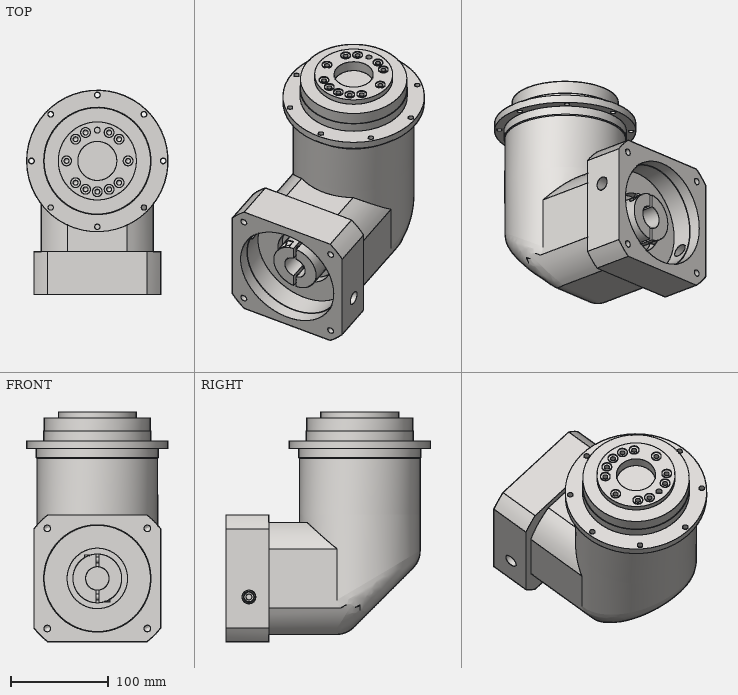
import cadquery as cq
import math


FLANGE_DIA = 145.0
FLANGE_BOTTOM, FLANGE_TOP = 133.0, 141.0
FLANGE_HOLE_CIRCLE, FLANGE_HOLE_DIA = 135.0, 5.5
FLANGE_HOLE_COUNT = 8
PILOT_DIA, PILOT_SLIM_DIA = 110.0, 109.0
PILOT_STEP, PILOT_TOP = 151.0, 164.5
OUTPUT_DIA, OUTPUT_TOP = 80.0, 170.5
OUTPUT_BORE_DIA, OUTPUT_BORE_DEPTH = 40.0, 12.0
COLLAR_DIA, COLLAR_BOTTOM = 125.5, 124.0
COLLAR_TAPER = 1.0
BARREL_DIA = 124.0
BARREL_BOTTOM = 65.0

OUTPUT_HOLE_CIRCLE = 63.0
OUTPUT_HOLE_DIA, OUTPUT_HOLE_DEPTH = 5.0, 12.0
OUTPUT_HOLE_ANGLES = [0, 45, 67.5, 112.5, 135, 180, 225, 247.5, 270, 292.5, 315]
SPOTFACE_DIA, SPOTFACE_DEPTH = 10.0, 1.0
PIN_HOLE_DIA, PIN_HOLE_DEPTH, PIN_HOLE_ANGLE = 6.0, 7.0, 90
DRILL_POINT_ANGLE = 118.0

NECK_SIZE = 115.0
NECK_CORNER_DIA = 130.0
MITER_DROP = 44.0
MITER_FILLET = 25.0
MITER_NORMAL = (0, 1, -1)
ELBOW_REACH = 300.0

ADAPTER_SIZE, ADAPTER_CORNER_DIA = 130.0, 165.0
ADAPTER_FRONT, ADAPTER_THICKNESS = -137.0, 44.0
ADAPTER_BACK = ADAPTER_FRONT + ADAPTER_THICKNESS
MOTOR_PILOT_DIA, MOTOR_PILOT_DEPTH = 110.0, 13.0
RECESS_DIA, RECESS_DEPTH = 109.0, 35.0
HUB_CLEARANCE_DIA = 62.0
MOTOR_HOLE_CIRCLE, MOTOR_HOLE_DIA, MOTOR_HOLE_DEPTH = 145.0, 6.8, 20.0
MOTOR_HOLE_ANGLES = [45, 135, 225, 315]
ACCESS_HOLE_DIA = 14.0

HUB_DIA, HUB_BORE_DIA = 50.0, 24.0
HUB_FRONT = ADAPTER_FRONT + 16.0
SLOT_WIDTH = 3.0
SLOT_END = ADAPTER_FRONT + RECESS_DEPTH
SCREW_Y, SCREW_Z = -113.5, 19.0
SCREW_SHANK_DIA = 6.0
SCREW_HEAD_DIA, SCREW_HEAD_SEAT, SCREW_HEAD_END = 10.0, 8.0, 13.0
SCREW_POCKET_DIA = 11.0
SOCKET_DIA, SOCKET_DEPTH = 6.0, 3.0


def cylinder_z(diameter, bottom, top):
    return cq.Workplane("XY").workplane(offset=bottom).circle(diameter / 2).extrude(top - bottom)


def cylinder_y(diameter, start, end):
    """Cylinder on the input axis from y = start to y = end."""
    plane = cq.Plane(origin=(0, start, 0), xDir=(1, 0, 0), normal=(0, 1, 0))
    return cq.Workplane(plane).circle(diameter / 2).extrude(end - start)


def cylinder_x(diameter, start, end, y, z):
    """Cylinder along +X from x = start to x = end."""
    plane = cq.Plane(origin=(start, y, z), xDir=(0, 1, 0), normal=(1, 0, 0))
    return cq.Workplane(plane).circle(diameter / 2).extrude(end - start)


def block(x_limits, y_limits, z_limits):
    """Box between the given limits."""
    sizes = [high - low for low, high in (x_limits, y_limits, z_limits)]
    corner = (x_limits[0], y_limits[0], z_limits[0])
    return cq.Workplane("XY").box(*sizes, centered=False).translate(corner)


def square_section(size, corner_dia, start, end):
    """Square bar along Y whose corners are turned down to corner_dia."""
    half = size / 2
    bar = block((-half, half), (start, end), (-half, half))
    return bar.intersect(cylinder_y(corner_dia, start, end))


def drill(position, direction, diameter, depth):
    """Blind drilled hole with a conical point, as a cutting solid."""
    radius = diameter / 2
    point = radius / math.tan(math.radians(DRILL_POINT_ANGLE / 2))
    outline = (
        cq.Workplane("XZ")
        .polyline([(0, 0), (radius, 0), (radius, depth), (0, depth + point)])
        .close()
    )
    tool = outline.revolve(360, (0, 0, 0), (0, 1, 0)).val()
    plane = cq.Plane(origin=position, normal=direction)
    return cq.Workplane(tool.moved(cq.Location(plane)))


def polar(circle_dia, angle):
    radius = circle_dia / 2
    return radius * math.cos(math.radians(angle)), radius * math.sin(math.radians(angle))


def miter_and_round(body, is_rounded):
    """Cut a body along the miter plane and round the edges of the cut that is_rounded picks."""
    plane = cq.Plane(origin=(0, 0, -MITER_DROP), xDir=(1, 0, 0), normal=MITER_NORMAL)
    beyond = cq.Workplane(plane).rect(ELBOW_REACH, ELBOW_REACH).extrude(ELBOW_REACH)
    body = body.cut(beyond)
    miter_face = body.faces(cq.selectors.DirectionMinMaxSelector(cq.Vector(MITER_NORMAL)))
    rounded = [edge for edge in miter_face.edges().vals() if is_rounded(edge)]
    return body.newObject(rounded).fillet(MITER_FILLET)


def make_rear_barrel():
    """Rear part of the vertical barrel, from the line where the neck sides run into it."""
    radius = BARREL_DIA / 2
    front = -math.sqrt(radius ** 2 - (NECK_SIZE / 2) ** 2)
    barrel = cylinder_z(BARREL_DIA, -ELBOW_REACH / 2, BARREL_BOTTOM)
    barrel = barrel.intersect(
        block((-radius, radius), (front, radius), (-ELBOW_REACH / 2, BARREL_BOTTOM))
    )
    return miter_and_round(barrel, lambda edge: edge.geomType() == "ELLIPSE")


def make_envelope():
    """Envelope of the elbow: a rounded, flat-bottomed trough below the input axis, free above it."""
    radius = NECK_CORNER_DIA / 2
    x_limits = (-radius, radius)
    y_limits = (ADAPTER_BACK, ELBOW_REACH / 2)
    trough = cylinder_y(NECK_CORNER_DIA, *y_limits)
    trough = trough.intersect(block(x_limits, y_limits, (-NECK_SIZE / 2, 0)))
    trough = miter_and_round(trough, lambda edge: edge.Center().z < -MITER_FILLET / 2)
    return trough.union(block(x_limits, y_limits, (0, BARREL_BOTTOM)))


def make_elbow():
    barrel_radius = BARREL_DIA / 2
    front_barrel = cylinder_z(BARREL_DIA, 0, BARREL_BOTTOM).intersect(
        block((-barrel_radius, barrel_radius), (-barrel_radius, 0), (0, BARREL_BOTTOM))
    )
    neck = square_section(NECK_SIZE, NECK_CORNER_DIA, ADAPTER_BACK, 0)
    elbow = make_rear_barrel().union(neck).intersect(make_envelope())
    return elbow.union(front_barrel)


def make_output_stage():
    profile = [
        (0, BARREL_BOTTOM),
        (-BARREL_DIA / 2, BARREL_BOTTOM),
        (-BARREL_DIA / 2, COLLAR_BOTTOM - COLLAR_TAPER),
        (-COLLAR_DIA / 2, COLLAR_BOTTOM),
        (-COLLAR_DIA / 2, FLANGE_BOTTOM),
        (-FLANGE_DIA / 2, FLANGE_BOTTOM),
        (-FLANGE_DIA / 2, FLANGE_TOP),
        (-PILOT_DIA / 2, FLANGE_TOP),
        (-PILOT_DIA / 2, PILOT_STEP),
        (-PILOT_SLIM_DIA / 2, PILOT_STEP),
        (-PILOT_SLIM_DIA / 2, PILOT_TOP),
        (-OUTPUT_DIA / 2, PILOT_TOP),
        (-OUTPUT_DIA / 2, OUTPUT_TOP),
        (0, OUTPUT_TOP),
    ]
    stage = cq.Workplane("XZ").polyline(profile).close().revolve(360, (0, 0, 0), (0, 1, 0))
    stage = stage.cut(cylinder_z(OUTPUT_BORE_DIA, OUTPUT_TOP - OUTPUT_BORE_DEPTH, OUTPUT_TOP))
    return stage


def output_hole_tool(angle):
    """Threaded hole with a shallow spotface in the output face, as a cutting solid."""
    x, y = polar(OUTPUT_HOLE_CIRCLE, angle)
    hole = drill((x, y, OUTPUT_TOP), (0, 0, -1), OUTPUT_HOLE_DIA, OUTPUT_HOLE_DEPTH)
    spotface = cylinder_z(SPOTFACE_DIA, OUTPUT_TOP - SPOTFACE_DEPTH, OUTPUT_TOP)
    return hole.union(spotface.translate((x, y, 0)))


def make_gearbox():
    gearbox = make_output_stage().union(make_elbow())
    for angle in OUTPUT_HOLE_ANGLES:
        gearbox = gearbox.cut(output_hole_tool(angle))
    x, y = polar(OUTPUT_HOLE_CIRCLE, PIN_HOLE_ANGLE)
    pin_hole = cylinder_z(PIN_HOLE_DIA, OUTPUT_TOP - PIN_HOLE_DEPTH, OUTPUT_TOP)
    gearbox = gearbox.cut(pin_hole.translate((x, y, 0)))
    flange_hole = cylinder_z(FLANGE_HOLE_DIA, FLANGE_BOTTOM, FLANGE_TOP)
    for index in range(FLANGE_HOLE_COUNT):
        x, y = polar(FLANGE_HOLE_CIRCLE, index * 360 / FLANGE_HOLE_COUNT)
        gearbox = gearbox.cut(flange_hole.translate((x, y, 0)))
    return gearbox


def make_adapter():
    adapter = square_section(ADAPTER_SIZE, ADAPTER_CORNER_DIA, ADAPTER_FRONT, ADAPTER_BACK)
    adapter = adapter.cut(cylinder_y(MOTOR_PILOT_DIA, ADAPTER_FRONT, ADAPTER_FRONT + MOTOR_PILOT_DEPTH))
    adapter = adapter.cut(cylinder_y(RECESS_DIA, ADAPTER_FRONT, ADAPTER_FRONT + RECESS_DEPTH))
    adapter = adapter.cut(cylinder_y(HUB_CLEARANCE_DIA, ADAPTER_FRONT, ADAPTER_BACK))
    for angle in MOTOR_HOLE_ANGLES:
        x, z = polar(MOTOR_HOLE_CIRCLE, angle)
        adapter = adapter.cut(
            drill((x, ADAPTER_FRONT, z), (0, 1, 0), MOTOR_HOLE_DIA, MOTOR_HOLE_DEPTH)
        )
    for side in (-1, 1):
        start, end = sorted((0, side * ADAPTER_SIZE / 2))
        adapter = adapter.cut(cylinder_x(ACCESS_HOLE_DIA, start, end, SCREW_Y, -side * SCREW_Z))
    return adapter


def make_hub():
    """Split clamping hub with its two clamp screws, which point in opposite directions."""
    hub = cylinder_y(HUB_DIA, HUB_FRONT, ADAPTER_BACK)
    half_slot = SLOT_WIDTH / 2
    hub = hub.cut(block((-half_slot, half_slot), (HUB_FRONT, SLOT_END), (-HUB_DIA, HUB_DIA)))
    half_turn = ((0, 0, 0), (0, 1, 0), 180)
    pocket = cylinder_x(SCREW_POCKET_DIA, -HUB_DIA, -SCREW_HEAD_SEAT, SCREW_Y, SCREW_Z)
    shank = cylinder_x(SCREW_SHANK_DIA, -SCREW_HEAD_SEAT, SCREW_HEAD_SEAT, SCREW_Y, SCREW_Z)
    head = cylinder_x(SCREW_HEAD_DIA, -SCREW_HEAD_END, -SCREW_HEAD_SEAT, SCREW_Y, SCREW_Z)
    socket_bottom = -SCREW_HEAD_END + SOCKET_DEPTH
    socket = cylinder_x(SOCKET_DIA, -SCREW_HEAD_END, socket_bottom, SCREW_Y, SCREW_Z)
    screw = shank.union(head).cut(socket)
    hub = hub.cut(pocket).cut(pocket.rotate(*half_turn))
    hub = hub.union(screw).union(screw.rotate(*half_turn))
    return hub.cut(cylinder_y(HUB_BORE_DIA, HUB_FRONT, ADAPTER_BACK))


gearbox = make_gearbox()
adapter = make_adapter()
hub = make_hub()

result = cq.Compound.makeCompound([gearbox.solids().val(), adapter.solids().val(), hub.solids().val()])